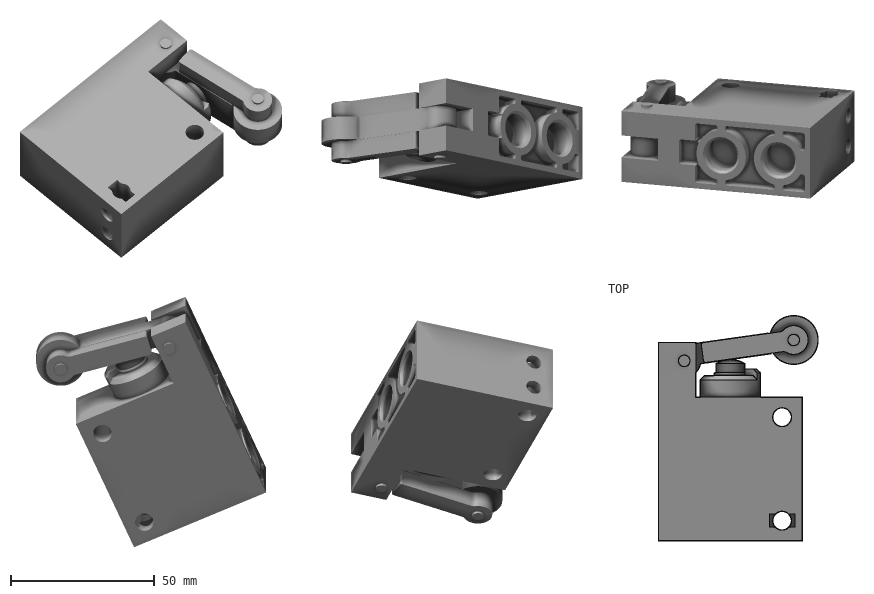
import cadquery as cq
import math

overall_width = 55.5
overall_length = 78.3
body_width = 50.0
body_length = 49.95
body_height = 25.5
arm_width = 13.0
arm_top = 69.0
fork_width = 8.0
fork_depth = 13.5

roller_diameter = 17.0
roller_x = overall_width - roller_diameter / 2
roller_y = overall_length - roller_diameter / 2
lever_angle = 8
lever_width = 7.0
lever_height = 20.05
lever_length = 32.0
lever_head_diameter = 10.0
lever_neck_radius = 2.35
lever_end_radius = 0.8
core_top = 3.6
core_bottom = -3.7
hub_diameter = 11.4
hub_fillet = 0.4

pin_diameter = 4.0
pivot_x = 9.0
pivot_y = 62.6
pivot_pin_length = 27.0
roller_pin_length = 21.6

plunger_x = body_width / 2
seat_radius = 21.0 / 2
seat_top = 57.5
seat_chamfer = 1.5
collar_radius = 11.4 / 2
collar_top = 58.5
plunger_radius = 10.0 / 2
collar_fillet = collar_radius - plunger_radius
plunger_top = 61.6
dome_rise = 1.4
key_top = 59.75
key_chamfer = 1.4
key_half_angle = 28

mount_diameter = 6.4
mount_x = 43.0
mount_ys = (7.05, 43.0)
nut_slot_length = 8.85
nut_slot_width = 4.55
nut_slot_floor = 2.0

end_hole_diameter = 5.5
end_hole_spacing = 11.0

port_ys = (11.5, 32.5)
port_diameter = 11.4
port_mouth_diameter = 13.15
port_depth = 8.0
boss_radius = 18.0 / 2
pocket_depth = 5.0
pocket_y_min = 1.95
pocket_y_max = 42.1
pocket_height = 21.45
pocket_corner_radius = 0.9
rib_width = 2.7
end_rib_height = 8.5
recess_y_max = 47.9
recess_height = 8.9


def centred_box(x_min, x_max, y_min, y_max, height):
    """Box between X and Y limits, centred on Z = 0."""
    box = cq.Workplane("XY").box(x_max - x_min, y_max - y_min, height)
    return box.translate(((x_min + x_max) / 2, (y_min + y_max) / 2, 0))


def z_cylinder(x, y, diameter, height):
    """Cylinder along Z, centred on Z = 0."""
    return cq.Workplane("XY").center(x, y).circle(diameter / 2).extrude(height / 2, both=True)


def x_cylinder(y, radius, depth):
    """Cylinder from the low X side of the body, inward along X."""
    return cq.Workplane("YZ").center(y, 0).circle(radius).extrude(depth)


def make_body():
    body = centred_box(0, body_width, 0, body_length, body_height)
    arm = centred_box(0, arm_width, body_length / 2, arm_top, body_height)
    fork = centred_box(0, arm_width, arm_top - fork_depth, arm_top, fork_width)
    return body.union(arm).cut(fork)


def make_mounting_holes():
    holes = cq.Workplane("XY")
    for y in mount_ys:
        holes = holes.union(z_cylinder(mount_x, y, mount_diameter, body_height))
    slot = centred_box(
        mount_x - nut_slot_length / 2,
        mount_x + nut_slot_length / 2,
        mount_ys[0] - nut_slot_width / 2,
        mount_ys[0] + nut_slot_width / 2,
        body_height,
    ).translate((0, 0, nut_slot_floor))
    end_holes = (
        cq.Workplane("XZ")
        .pushPoints([(mount_x, -end_hole_spacing / 2), (mount_x, end_hole_spacing / 2)])
        .circle(end_hole_diameter / 2)
        .extrude(-mount_ys[0])
    )
    return holes.union(slot).union(end_holes)


def make_port(y):
    mouth_chamfer = (port_mouth_diameter - port_diameter) / 2
    mouth = cq.Workplane("YZ").center(y, 0).circle(port_mouth_diameter / 2)
    mouth = mouth.workplane(offset=mouth_chamfer).circle(port_diameter / 2).loft()
    return x_cylinder(y, port_diameter / 2, port_depth).union(mouth)


def make_pockets():
    """Pockets around the two port bosses, parted by ribs to the long walls."""
    pockets = centred_box(0, pocket_depth, pocket_y_min, pocket_y_max, pocket_height)
    recess = centred_box(0, pocket_depth, port_ys[1], recess_y_max, recess_height)
    recess = recess.cut(x_cylinder(port_ys[1], boss_radius, pocket_depth))
    for y in port_ys:
        rib = centred_box(0, pocket_depth, y - rib_width / 2, y + rib_width / 2, pocket_height)
        pockets = pockets.cut(x_cylinder(y, boss_radius, pocket_depth)).cut(rib)
    end_ribs = ((pocket_y_min, port_ys[0]), (port_ys[1], pocket_y_max))
    for y_min, y_max in end_ribs:
        pockets = pockets.cut(centred_box(0, pocket_depth, y_min, y_max, end_rib_height))
    pockets = pockets.edges("|X").fillet(pocket_corner_radius)
    return pockets.union(recess.edges("|X").fillet(pocket_corner_radius))


def make_lever():
    """Lever with its roller; drawn along X from the roller centre, then tilted."""
    plates = centred_box(-lever_length, 0, -lever_width / 2, lever_width / 2, lever_height)
    plates = plates.edges("<X and |Z").fillet(lever_end_radius)
    plates = plates.union(z_cylinder(0, 0, lever_head_diameter, lever_height))
    neck_reach = math.sqrt(lever_head_diameter**2 - lever_width**2) / 2
    for neck_y in (-lever_width / 2, lever_width / 2):
        neck = cq.selectors.NearestToPointSelector((-neck_reach, neck_y, 0))
        plates = plates.edges("|Z").edges(neck).fillet(lever_neck_radius)

    pivot_distance = math.hypot(roller_x - pivot_x, roller_y - pivot_y)
    pivot_angle = math.degrees(math.atan2(roller_y - pivot_y, roller_x - pivot_x)) - lever_angle
    hub_x = -pivot_distance * math.cos(math.radians(pivot_angle))
    hub_y = -pivot_distance * math.sin(math.radians(pivot_angle))
    core = centred_box(hub_x, -roller_diameter / 2, core_bottom, core_top, fork_width)
    core = core.union(z_cylinder(hub_x, hub_y, hub_diameter, fork_width))
    hub_reach = math.sqrt((hub_diameter / 2) ** 2 - (core_bottom - hub_y) ** 2)
    hub_corner = cq.selectors.NearestToPointSelector((hub_x + hub_reach, core_bottom, 0))
    core = core.edges("|Z").edges(hub_corner).fillet(hub_fillet)

    roller = z_cylinder(0, 0, roller_diameter, fork_width)
    lever = plates.union(core).union(roller)
    lever = lever.union(z_cylinder(0, 0, pin_diameter, roller_pin_length))
    lever = lever.union(z_cylinder(hub_x, hub_y, pin_diameter, pivot_pin_length))
    return lever.rotate((0, 0, 0), (0, 0, 1), lever_angle).translate((roller_x, roller_y, 0))


def turn(profile, angle):
    """Turn a profile, given as radius and Y, about the Y axis."""
    return profile.close().revolve(angle, (0, 0, 0), (0, 1, 0))


def make_plunger():
    base = body_length
    dome_radius = (plunger_radius**2 + dome_rise**2) / (2 * dome_rise)
    dome_peak = plunger_top + dome_rise
    dome_mid_x = plunger_radius / 2
    dome_mid_y = dome_peak - dome_radius + math.sqrt(dome_radius**2 - dome_mid_x**2)
    seat = turn(
        cq.Workplane("XY")
        .moveTo(0, base)
        .lineTo(seat_radius, base)
        .lineTo(seat_radius, seat_top - seat_chamfer)
        .lineTo(seat_radius - seat_chamfer, seat_top)
        .lineTo(collar_radius, seat_top)
        .lineTo(collar_radius, collar_top - collar_fillet)
        .tangentArcPoint((plunger_radius, collar_top), relative=False)
        .lineTo(plunger_radius, plunger_top)
        .threePointArc((dome_mid_x, dome_mid_y), (0, dome_peak)),
        360,
    )
    key = turn(
        cq.Workplane("XY")
        .moveTo(collar_radius, base)
        .lineTo(seat_radius, base)
        .lineTo(seat_radius, key_top - key_chamfer)
        .lineTo(seat_radius - key_chamfer, key_top)
        .lineTo(collar_radius, key_top),
        2 * key_half_angle,
    ).rotate((0, 0, 0), (0, 1, 0), -key_half_angle)
    return seat.union(key).translate((plunger_x, 0, 0))


result = make_body().cut(make_mounting_holes()).cut(make_pockets())
for port_y in port_ys:
    result = result.cut(make_port(port_y))
result = result.union(make_plunger()).union(make_lever())